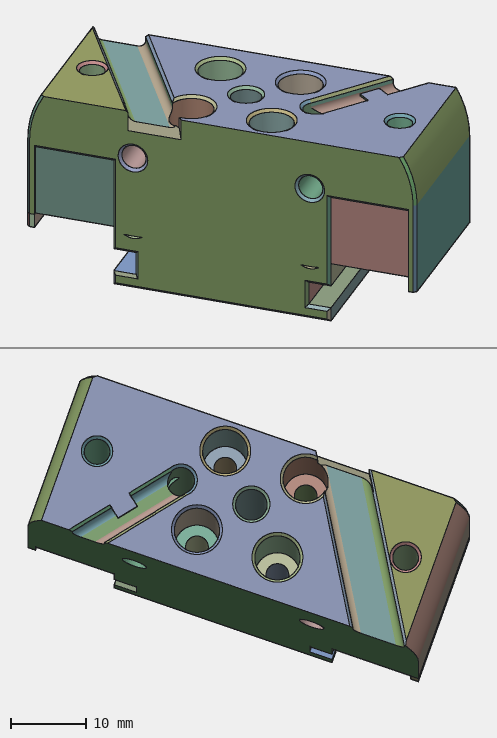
import cadquery as cq
import math

LENGTH = 55.0
DEPTH = 21.0
HEIGHT = 26.7
FRONT_Y = -DEPTH / 2

FRONT_CHAMFER = 0.41
CORNER_INSET = 1.9
CORNER_START_Z = 19.7
SKIRT_THICKNESS = 1.1
SKIRT_BOTTOM_Z = 6.65
WING_BOTTOM_Z = 8.65
RECESS_TOP_Z = 18.65
LEG_WIDTH = 30.7
NECK_WIDTH = 24.4
NECK_TOP_Z = 5.3
FOOT_TOP_Z = 2.0

MOUTH_CHAMFER = 0.4
HOLE_ROW_Y = -0.8
CROSS_HOLE_DIAMETER = 3.4
CROSS_HOLE_X = 12.5
CROSS_HOLE_Z = 19.7
END_HOLE_DIAMETER = 3.4
END_HOLE_X = 21.7
CENTRE_HOLE_DIAMETER = 4.2
CABLE_HOLE_DIAMETER = 3.6
CABLE_HOLE_X = 9.9
BOLT_HOLE_DIAMETER = 3.0
BOLT_HEAD_DIAMETER = 6.0
BOLT_HEAD_DEPTH = 11.0
BOLT_SPACING = 11.35

GROOVE_DEPTH = 2.0
GROOVE_FILLET = 1.0
WIDE_GROOVE_WIDTH = 6.2
WIDE_GROOVE_ANGLE = 30.7
WIDE_GROOVE_X = -15.7
MOUTH_WIDTH = 6.45
MOUTH_DROP = 1.0
CABLE_GROOVE_WIDTH = 3.5
CABLE_GROOVE_ANGLE = -38.7
TAB_LENGTH = 3.0
TAB_OVERHANG = 1.7
TAB_THICKNESS = 0.3
TAB_DISTANCE = 8.3

DIMPLE_TOP_Z = 7.9
DIMPLE_DIAMETER = 4.7
DIMPLE_OFFSET = 2.0

OVERSHOOT = 0.55


def outline(side_points):
    """Profile in the XZ plane: the right half from `side_points`, mirrored, under the rounded top."""
    half = LENGTH / 2
    rise = HEIGHT - CORNER_START_Z
    radius = (rise**2 + CORNER_INSET**2) / (2 * CORNER_INSET)
    half_sweep = math.asin(rise / radius) / 2
    mid_x = half - radius * (1 - math.cos(half_sweep))
    mid_z = CORNER_START_Z + radius * math.sin(half_sweep)
    top_x = half - CORNER_INSET
    left_points = [(-x, z) for x, z in reversed(side_points)]
    return (
        cq.Workplane("XZ", origin=(0, FRONT_Y, 0))
        .moveTo(-half, CORNER_START_Z)
        .threePointArc((-mid_x, mid_z), (-top_x, HEIGHT))
        .lineTo(top_x, HEIGHT)
        .threePointArc((mid_x, mid_z), (half, CORNER_START_Z))
        .polyline(side_points + left_points, includeCurrent=True)
        .close()
    )


def right_profile(wing_z):
    """Right half of the profile below the rounded end; the wing ends at height `wing_z`."""
    skirt_x = LENGTH / 2 - SKIRT_THICKNESS
    leg_x = LEG_WIDTH / 2
    neck_x = NECK_WIDTH / 2
    return [
        (LENGTH / 2, SKIRT_BOTTOM_Z),
        (skirt_x, SKIRT_BOTTOM_Z),
        (skirt_x, wing_z),
        (leg_x, wing_z),
        (leg_x, NECK_TOP_Z),
        (neck_x, NECK_TOP_Z),
        (neck_x, FOOT_TOP_Z),
        (leg_x, FOOT_TOP_Z),
        (leg_x, 0),
    ]


def is_chamfered(edge):
    """True for front edges other than the top edge and the inside and bottom of the skirts."""
    middle = edge.positionAt(0.5)
    tolerance = 0.0005
    on_top = math.isclose(middle.z, HEIGHT, abs_tol=tolerance)
    on_skirt = (
        LENGTH / 2 - SKIRT_THICKNESS - tolerance < abs(middle.x) < LENGTH / 2 - tolerance
        and middle.z < CORNER_START_Z
    )
    return not on_top and not on_skirt


def solid_block():
    """The housing with its skirts, before any hole or groove."""
    front_layer = outline(right_profile(RECESS_TOP_Z)).extrude(-2 * FRONT_CHAMFER)
    front_layer = front_layer.faces("<Y").edges().filter(is_chamfered).chamfer(FRONT_CHAMFER)
    core_depth = DEPTH - FRONT_CHAMFER
    core = outline(right_profile(WING_BOTTOM_Z)).extrude(-core_depth).translate((0, FRONT_CHAMFER, 0))
    return core.union(front_layer)


def bore(diameter, depth):
    """A hole cutter going down from its mouth at the origin, with a chamfered mouth."""
    radius = diameter / 2
    mouth = radius + MOUTH_CHAMFER
    half_section = [
        (0, -depth),
        (radius, -depth),
        (radius, -MOUTH_CHAMFER),
        (mouth, 0),
        (mouth, OVERSHOOT),
        (0, OVERSHOOT),
    ]
    return cq.Workplane("XZ").polyline(half_section).close().revolve(360, (0, 0), (0, 1))


def top_holes():
    """Plain holes along the middle row and four counterbored bolt holes, all running down."""
    through = HEIGHT + OVERSHOOT
    plain = [
        (0, CENTRE_HOLE_DIAMETER),
        (CABLE_HOLE_X, CABLE_HOLE_DIAMETER),
        (-END_HOLE_X, END_HOLE_DIAMETER),
        (END_HOLE_X, END_HOLE_DIAMETER),
    ]
    cutters = [bore(diameter, through).translate((x, HOLE_ROW_Y, HEIGHT)) for x, diameter in plain]
    bolt_hole = bore(BOLT_HEAD_DIAMETER, BOLT_HEAD_DEPTH).union(
        cq.Workplane().circle(BOLT_HOLE_DIAMETER / 2).extrude(-through)
    )
    for x_side in (-1, 1):
        for y_side in (-1, 1):
            x = x_side * BOLT_SPACING / 2
            y = HOLE_ROW_Y + y_side * BOLT_SPACING / 2
            cutters.append(bolt_hole.translate((x, y, HEIGHT)))
    return cutters


def cross_holes():
    """Two holes running from front to back."""
    cutter = bore(CROSS_HOLE_DIAMETER, DEPTH + OVERSHOOT).rotate((0, 0, 0), (1, 0, 0), 90)
    return [cutter.translate((side * CROSS_HOLE_X, FRONT_Y, CROSS_HOLE_Z)) for side in (-1, 1)]


def groove(width, start, end, right_bevel_start):
    """Groove cutter along Y, from `start` to `end`, with rounded floor corners.

    Both top edges are bevelled, the one on the +X side only from `right_bevel_start` on.
    """
    half = width / 2
    cutter = (
        cq.Workplane("XZ", origin=(0, start, 0))
        .rect(width, 2 * GROOVE_DEPTH)
        .extrude(start - end)
        .edges("|Y and <Z")
        .fillet(GROOVE_FILLET)
    )
    for side, bevel_start in ((-1, start), (1, right_bevel_start)):
        bevel_section = [
            (0, -MOUTH_CHAMFER),
            (side * half, -MOUTH_CHAMFER),
            (side * (half + MOUTH_CHAMFER), 0),
            (0, 0),
        ]
        bevel = (
            cq.Workplane("XZ", origin=(0, bevel_start, 0))
            .polyline(bevel_section)
            .close()
            .extrude(bevel_start - end)
        )
        cutter = cutter.union(bevel)
    return cutter


def wide_groove():
    """Slanted groove across the whole top, with a 45 degree bevel where it opens to the front."""
    reach = DEPTH
    angle = math.radians(WIDE_GROOVE_ANGLE)
    bolt_x = -BOLT_SPACING / 2 - WIDE_GROOVE_X
    bolt_y = HOLE_ROW_Y - BOLT_SPACING / 2
    bolt_along = bolt_y * math.cos(angle) - bolt_x * math.sin(angle)
    channel = (
        groove(WIDE_GROOVE_WIDTH, -reach, reach, bolt_along)
        .rotate((0, 0, 0), (0, 0, 1), WIDE_GROOVE_ANGLE)
        .translate((WIDE_GROOVE_X, 0, HEIGHT))
    )
    drop = GROOVE_DEPTH + MOUTH_DROP
    bevel = (
        cq.Workplane("YZ")
        .polyline([(FRONT_Y, HEIGHT), (FRONT_Y, HEIGHT - drop), (FRONT_Y + drop, HEIGHT)])
        .close()
        .extrude(LENGTH / 2, both=True)
    )
    lane = (
        cq.Workplane()
        .rect(MOUTH_WIDTH, 2 * reach)
        .extrude(-drop)
        .rotate((0, 0, 0), (0, 0, 1), WIDE_GROOVE_ANGLE)
        .translate((WIDE_GROOVE_X, 0, HEIGHT))
    )
    return channel.union(lane.intersect(bevel))


def cable_groove():
    """Groove from the cable hole to the back face, partly roofed by a thin retaining tab."""
    tab_inner_x = CABLE_GROOVE_WIDTH / 2 - TAB_OVERHANG
    tab = (
        cq.Workplane()
        .box(CABLE_GROOVE_WIDTH, TAB_LENGTH, TAB_THICKNESS, centered=(False, True, False))
        .translate((tab_inner_x, TAB_DISTANCE, -TAB_THICKNESS))
    )
    return (
        groove(CABLE_GROOVE_WIDTH, 0, DEPTH, 0)
        .cut(tab)
        .rotate((0, 0, 0), (0, 0, 1), CABLE_GROOVE_ANGLE)
        .translate((CABLE_HOLE_X, HOLE_ROW_Y, HEIGHT))
    )


def dimples():
    """Shallow conical scoops in the front face."""
    radius = DIMPLE_DIAMETER / 2
    cone = cq.Workplane(cq.Solid.makeCone(0, radius, radius))
    cone = cone.translate((0, FRONT_Y - DIMPLE_OFFSET, DIMPLE_TOP_Z - radius))
    return [cone.translate((side * CROSS_HOLE_X, 0, 0)) for side in (-1, 1)]


def strip_space():
    """Room taken by the skirt strip at the -X end, below the wing."""
    return (
        cq.Workplane()
        .box(SKIRT_THICKNESS, DEPTH, WING_BOTTOM_Z, centered=(False, True, False))
        .translate((-LENGTH / 2, 0, 0))
    )


def make_housing():
    """Main body with its holes, grooves and dimples, without the skirt strip."""
    body = solid_block()
    for cutter in top_holes() + cross_holes() + [wide_groove(), cable_groove()] + dimples():
        body = body.cut(cutter)
    return body.cut(strip_space()).solids()


def make_skirt_strip():
    """Separate strip that continues the skirt at the -X end down to its bottom edge."""
    return solid_block().intersect(strip_space()).solids()


housing = make_housing()
skirt_strip = make_skirt_strip()

result = cq.Compound.makeCompound([housing.val(), skirt_strip.val()])